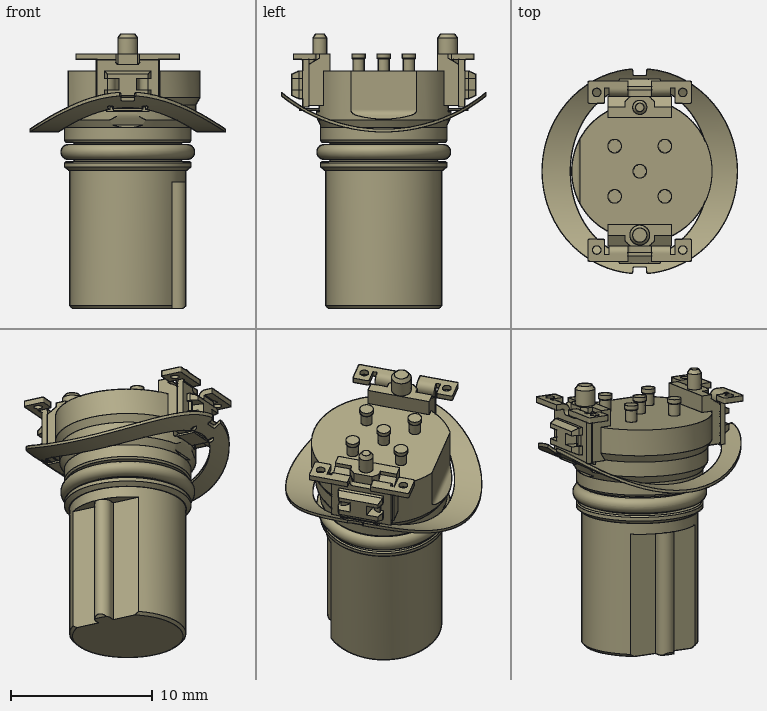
import cadquery as cq
import math


barrel_radius = 4.1
barrel_top_z = 9.72
barrel_chamfer = 0.2
keyway_top_z = 8.93
keyway_floor_x = 3.12
key_round_radius = 0.6

collar_radius = 4.47
flange_chamfer_height = 0.26
flange_chamfer_width = 0.33
flange_top_z = 10.35
edge_break = 0.1
collar_edge_break = 0.15
groove_radius = 3.77
groove_corner = 0.1
o_ring_section_radius = 0.53
o_ring_outer_radius = 4.72
o_ring_z = 11.03
collar_bottom_z = 2 * o_ring_z - flange_top_z
collar_top_z = 12.75

head_radius = 4.8
head_base_z = 13.28
head_top_z = 16.75
wide_head_radius = 5.1
wide_head_taper_bottom_z = 14.34
wide_head_taper_top_z = 14.88
head_flat_x = -4.2
head_flat_bottom_z = 14.0
head_flat_arc_radius = 0.48
head_flat_arc_turn = math.radians(57)
side_flat_y = 4.56
side_flat_bottom_z = 13.87

latch_outer_y = 4.754
latch_lip_z = 13.68
latch_inner_y = 4.65
latch_inner_z = 13.33
latch_arc_fraction = 0.3
latch_deep_y = 4.46
latch_deep_z = 12.93

contact_pitch = 3.54
contact_height = 1.2
contact_radius = 0.4
contact_cap_radius = 0.48
contact_cap_height = 0.36
contact_cap_chamfer = 0.06

washer_bend_radius = 11.3
washer_thickness = 0.2
washer_bottom_z = 12.44
washer_half_x = 6.89
washer_half_y = 7.235
washer_hole_half_x = 4.89
washer_hole_half_y = 6.05
washer_notch_width = 0.95
washer_notch_floor_y = 6.75
washer_notch_corner = 0.2
washer_notch_floor_radius = 0.1
washer_tab_width = 2.02
washer_tab_end_y = 5.95
washer_tab_z = 13.97
washer_tab_thickness = 0.14
relief_radius = 0.2

block_half_x = 2.25
block_inner_y = 3.77
block_outer_y = 5.27
block_bottom_z = 14.29
bracket_top_z = head_top_z + contact_height
block_step_y = 4.53
block_step_z = 17.65
block_slope_end_z = 17.2
block_centre_half_x = 1.05
block_nose_half_x = 0.67
block_nose_start_y = 4.9

plate_thickness = 0.45
plate_outer_y = block_outer_y + plate_thickness
plate_half_x = 2.17
plate_bottom_z = 14.2
ear_thickness = 0.4
ear_half_x = 3.65
ear_outer_y = 6.36
ear_inner_y = 4.78
ear_pad_inner_x = 2.47
ear_slot_y = 5.85
ear_corner_radius = 0.12
ear_hole_x = 3.03
ear_hole_y = 5.55
ear_hole_radius = 0.3
bend_outer_radius = 0.53
bend_inner_corner = 0.05
plate_gap_half_x = 0.84
plate_gap_bottom_z = 17.18
plate_gap_radius = 0.25

boss_half_x = 1.63
boss_bottom_z = 14.77
boss_plinth_y = 5.97
boss_outer_y = 6.49
boss_side_taper = 0.2
boss_end_taper = 0.24
window_bottom_z = 15.4
window_top_z = 16.2
stem_tip_half_x = 0.6
stem_root_half_x = 0.85

peg_y = 4.5
peg_top_z = 19.35
peg_chamfer_height = 0.28
peg_chamfer_width = 0.2
front_peg_radius = 0.7
rear_peg_radius = 0.5


def block(x0, x1, y0, y1, z0, z1):
    """Box between two opposite corners."""
    return cq.Workplane("XY").box(x1 - x0, y1 - y0, z1 - z0, centered=False).translate((x0, y0, z0))


def both_x(shape):
    """The shape together with its mirror image across X = 0."""
    return shape.union(shape.mirror("YZ"))


def both_y(shape):
    """The shape together with its mirror image across Y = 0."""
    return shape.union(shape.mirror("XZ"))


def turned_body():
    """Barrel, flange, O-ring groove, collar and plain head."""
    profile = (
        cq.Workplane("XZ")
        .moveTo(0, 0)
        .lineTo(barrel_radius - barrel_chamfer, 0)
        .lineTo(barrel_radius, barrel_chamfer)
        .lineTo(barrel_radius, barrel_top_z)
        .lineTo(collar_radius - flange_chamfer_width, barrel_top_z)
        .lineTo(collar_radius, barrel_top_z + flange_chamfer_height)
        .lineTo(collar_radius, flange_top_z - edge_break)
        .lineTo(collar_radius - edge_break, flange_top_z)
        .lineTo(groove_radius + groove_corner, flange_top_z)
        .lineTo(groove_radius, flange_top_z + groove_corner)
        .lineTo(groove_radius, collar_bottom_z - groove_corner)
        .lineTo(groove_radius + groove_corner, collar_bottom_z)
        .lineTo(collar_radius - edge_break, collar_bottom_z)
        .lineTo(collar_radius, collar_bottom_z + collar_edge_break)
        .lineTo(collar_radius, collar_top_z)
        .lineTo(head_radius, head_base_z)
        .lineTo(head_radius, head_top_z)
        .lineTo(0, head_top_z)
        .close()
    )
    return profile.revolve(360, (0, 0, 0), (0, 1, 0))


def o_ring():
    centre_radius = o_ring_outer_radius - o_ring_section_radius
    section = cq.Workplane("XZ").center(centre_radius, o_ring_z).circle(o_ring_section_radius)
    return section.revolve(360, (-centre_radius, 0, 0), (-centre_radius, 1, 0))


def keyway():
    """Flat on the +X side of the barrel, leaving a round-nosed key rib standing in its middle."""
    flat = block(keyway_floor_x, 2 * barrel_radius, -barrel_radius, barrel_radius, 0, keyway_top_z)
    key_nose_x = barrel_radius - key_round_radius
    rib = cq.Workplane("XY").center(key_nose_x, 0).circle(key_round_radius).extrude(keyway_top_z)
    rib = rib.union(block(0, key_nose_x, -key_round_radius, key_round_radius, 0, keyway_top_z))
    return flat.cut(rib)


def wide_head():
    """Larger-radius half of the head on the +X side, tapering down into the plain head."""
    half = (
        cq.Workplane("XZ")
        .moveTo(0, wide_head_taper_bottom_z)
        .lineTo(head_radius, wide_head_taper_bottom_z)
        .lineTo(wide_head_radius, wide_head_taper_top_z)
        .lineTo(wide_head_radius, head_top_z)
        .lineTo(0, head_top_z)
        .close()
        .revolve(360, (0, 0, 0), (0, 1, 0))
    )
    reach = 2 * wide_head_radius
    return half.intersect(block(0, reach, -reach, reach, 0, head_top_z))


def head_flat():
    """Cut for the -X flat, running out through a concave arc and a slope."""
    half_turn = head_flat_arc_turn / 2
    arc_centre_x = head_flat_x - head_flat_arc_radius

    def arc_point(angle):
        x = arc_centre_x + head_flat_arc_radius * math.cos(angle)
        return (x, head_flat_bottom_z - head_flat_arc_radius * math.sin(angle))

    arc_end = arc_point(head_flat_arc_turn)
    runout_x = -wide_head_radius
    runout_z = arc_end[1] - (arc_end[0] - runout_x) / math.tan(head_flat_arc_turn)
    return (
        cq.Workplane("XZ")
        .moveTo(head_flat_x, head_top_z)
        .lineTo(head_flat_x, head_flat_bottom_z)
        .threePointArc(arc_point(half_turn), arc_end)
        .lineTo(runout_x, runout_z)
        .lineTo(runout_x, head_top_z)
        .close()
        .extrude(head_radius, both=True)
    )


def side_flat():
    """Cut for the -Y flat of the head and the shallow latch recess below it."""
    reach = wide_head_radius
    flat = block(-reach, reach, -2 * reach, -side_flat_y, side_flat_bottom_z, head_top_z)
    arc_middle = (
        -latch_outer_y + latch_arc_fraction * (latch_outer_y - latch_inner_y),
        (latch_lip_z + latch_inner_z) / 2,
    )
    recess = (
        cq.Workplane("YZ")
        .moveTo(-reach, side_flat_bottom_z)
        .lineTo(-latch_outer_y, side_flat_bottom_z)
        .lineTo(-latch_outer_y, latch_lip_z)
        .threePointArc(arc_middle, (-latch_inner_y, latch_inner_z))
        .lineTo(-latch_deep_y, latch_deep_z)
        .lineTo(-latch_deep_y, collar_top_z)
        .lineTo(-reach, collar_top_z)
        .close()
        .extrude(block_half_x, both=True)
    )
    return flat.union(recess)


def contact_pins():
    pin = cq.Workplane("XY").circle(contact_radius).extrude(contact_height)
    cap = cq.Workplane("XY").circle(contact_cap_radius).extrude(contact_cap_height)
    cap = cap.faces("<Z").chamfer(contact_cap_chamfer)
    pin = pin.union(cap.translate((0, 0, contact_height - contact_cap_height)))
    offset = contact_pitch / 2
    spots = [(0, 0)] + [(sx * offset, sy * offset) for sx in (-1, 1) for sy in (-1, 1)]
    pins = cq.Workplane("XY")
    for x, y in spots:
        pins = pins.union(pin.translate((x, y, head_top_z)))
    return pins


def washer_notch():
    """Plan cut for the notch in the -Y rim, rounded at its floor and its mouth."""
    half = washer_notch_width / 2
    radius = washer_notch_corner
    slot = block(-half, half, -2 * washer_half_y, -washer_notch_floor_y, 0, peg_top_z)
    slot = slot.edges("|Z and >Y").fillet(washer_notch_floor_radius)
    mouth_y = -washer_half_y + radius
    corner = block(half - radius, half + radius, -2 * washer_half_y, mouth_y, 0, peg_top_z)
    rounding = cq.Workplane("XY").center(half + radius, mouth_y).circle(radius).extrude(peg_top_z)
    corner = corner.cut(rounding)
    return slot.union(both_x(corner))


def washer():
    """Saddle washer with rim notches and the tabs that reach in to the head's side flats."""
    outer_radius = washer_bend_radius + washer_thickness
    axis_z = washer_bottom_z + outer_radius
    shell = cq.Workplane("YZ").center(0, axis_z).circle(outer_radius).circle(washer_bend_radius)
    shell = shell.extrude(2 * washer_half_x, both=True)
    plan = (
        cq.Workplane("XY")
        .ellipse(washer_half_x, washer_half_y)
        .ellipse(washer_hole_half_x, washer_hole_half_y)
        .extrude(axis_z)
    )
    half_tab = washer_tab_width / 2
    relief = cq.Workplane("XY").center(half_tab + relief_radius, -washer_hole_half_y)
    relief = both_x(relief.circle(relief_radius).extrude(axis_z))
    plan = plan.cut(both_y(washer_notch().union(relief)))
    tab_top_z = washer_tab_z + washer_tab_thickness
    tab = block(-half_tab, half_tab, -washer_tab_end_y, -side_flat_y, washer_tab_z, tab_top_z)
    return shell.intersect(plan).union(both_y(tab))


def bracket_block():
    """Block against the head on the -Y side, stepped and sloped beside its centre nose."""
    body = block(
        -block_half_x, block_half_x, -block_outer_y, -block_inner_y, block_bottom_z, bracket_top_z
    )
    shoulder = (
        cq.Workplane("YZ")
        .moveTo(-block_step_y, bracket_top_z)
        .lineTo(-block_step_y, block_step_z)
        .lineTo(-block_outer_y, block_slope_end_z)
        .lineTo(-block_outer_y, bracket_top_z)
        .close()
        .extrude(block_half_x, both=True)
    )
    nose = (
        cq.Workplane("XY")
        .moveTo(-block_centre_half_x, -block_step_y)
        .lineTo(-block_centre_half_x, -block_nose_start_y)
        .lineTo(-block_nose_half_x, -block_outer_y)
        .lineTo(block_nose_half_x, -block_outer_y)
        .lineTo(block_centre_half_x, -block_nose_start_y)
        .lineTo(block_centre_half_x, -block_step_y)
        .close()
        .extrude(bracket_top_z)
    )
    return body.cut(shoulder.cut(nose))


def bent_sheet():
    """Upright plate bent outward at its top into two ears with end pads."""
    ear_bottom_z = bracket_top_z - ear_thickness
    bend_y = -(block_outer_y + bend_outer_radius)
    bend_z = bracket_top_z - bend_outer_radius
    diagonal = math.sqrt(0.5)
    outer_middle = (bend_y + bend_outer_radius * diagonal, bend_z + bend_outer_radius * diagonal)
    inner_root_z = ear_bottom_z - bend_inner_corner
    sheet = (
        cq.Workplane("YZ")
        .moveTo(-block_outer_y, plate_bottom_z)
        .lineTo(-block_outer_y, bend_z)
        .threePointArc(outer_middle, (bend_y, bracket_top_z))
        .lineTo(-ear_outer_y, bracket_top_z)
        .lineTo(-ear_outer_y, ear_bottom_z)
        .lineTo(-plate_outer_y - bend_inner_corner, ear_bottom_z)
        .lineTo(-plate_outer_y, inner_root_z)
        .lineTo(-plate_outer_y, plate_bottom_z)
        .close()
        .extrude(plate_half_x, both=True)
    )
    pad = block(ear_pad_inner_x, ear_half_x, -ear_outer_y, -ear_inner_y, ear_bottom_z, bracket_top_z)
    pad = pad.edges("|Z and (>X or >Y)").fillet(ear_corner_radius)
    link = block(
        plate_half_x, ear_pad_inner_x, -ear_outer_y, -ear_slot_y, ear_bottom_z, bracket_top_z
    )
    hole = cq.Workplane("XY").center(ear_hole_x, -ear_hole_y).circle(ear_hole_radius)
    pad = pad.union(link).cut(hole.extrude(bracket_top_z))
    gap = block(
        -plate_gap_half_x, plate_gap_half_x, -2 * ear_outer_y, -block_outer_y,
        plate_gap_bottom_z, peg_top_z,
    )
    gap = gap.edges("|Y and <Z").fillet(plate_gap_radius)
    return sheet.union(both_x(pad)).cut(gap)


def boss_window():
    """Side opening between the hook bars; its floor is rounded down towards the stem."""
    outer_x = boss_half_x - boss_side_taper
    radius = outer_x - stem_root_half_x
    floor_y = -boss_plinth_y + radius
    diagonal = radius * math.sqrt(0.5)
    return (
        cq.Workplane("XY")
        .workplane(offset=window_bottom_z)
        .moveTo(stem_tip_half_x, -boss_outer_y)
        .lineTo(stem_root_half_x, floor_y)
        .threePointArc((outer_x - diagonal, floor_y - diagonal), (outer_x, -boss_plinth_y))
        .lineTo(outer_x, -plate_outer_y)
        .lineTo(boss_half_x, -plate_outer_y)
        .lineTo(boss_half_x, -boss_outer_y)
        .close()
        .extrude(window_top_z - window_bottom_z)
    )


def boss():
    """Plinth with a tapered outer part, standing on the -Y face of the plate."""
    height = head_top_z - boss_bottom_z
    plinth = block(
        -boss_half_x, boss_half_x, -boss_plinth_y, -plate_outer_y, boss_bottom_z, head_top_z
    )
    tapered = (
        cq.Workplane("XZ", origin=(0, -boss_plinth_y, boss_bottom_z + height / 2))
        .rect(2 * boss_half_x, height)
        .workplane(offset=boss_outer_y - boss_plinth_y)
        .rect(2 * (boss_half_x - boss_side_taper), height - 2 * boss_end_taper)
        .loft(ruled=True)
    )
    return plinth.union(tapered)


def bracket():
    sheet = bent_sheet().union(boss()).cut(both_x(boss_window()))
    return bracket_block().union(sheet)


def peg(radius, y):
    """Locating peg with a chamfered tip, standing on a bracket block."""
    body = cq.Workplane("XY").circle(radius).extrude(peg_top_z - bracket_top_z)
    body = body.faces(">Z").edges().chamfer(peg_chamfer_height, peg_chamfer_width)
    return body.translate((0, y, bracket_top_z))


result = (
    turned_body()
    .cut(keyway())
    .union(wide_head())
    .cut(head_flat())
    .cut(both_y(side_flat()))
    .union(o_ring())
    .union(contact_pins())
    .union(both_y(bracket()))
    .union(washer())
    .union(peg(front_peg_radius, -peg_y))
    .union(peg(rear_peg_radius, peg_y))
)